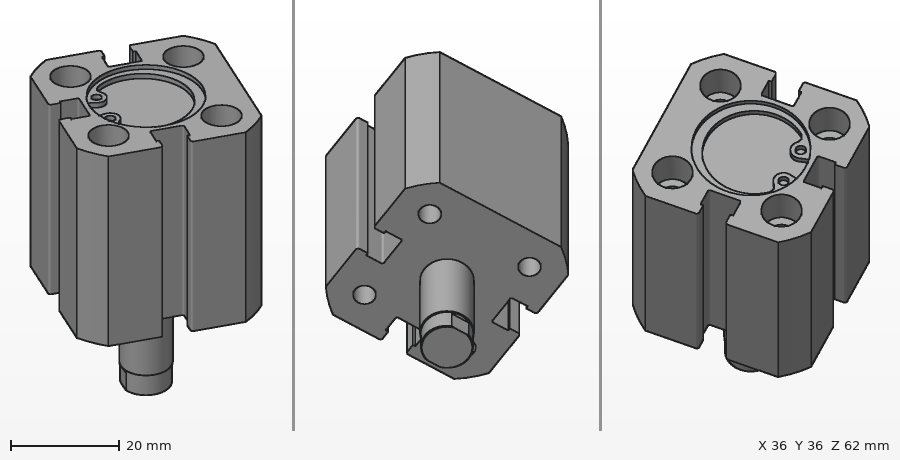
import cadquery as cq
import math

TOTAL_LENGTH = 62.0
OVERLAP = 0.6

HOUSING_WIDTH = 36.0
HOUSING_HEIGHT = 41.1
CORNER_DIAMETER = 44.9

SLOT_ANGLES = (0, 180, 270)
SLOT_MOUTH_WIDTH = 5.45
SLOT_INNER_WIDTH = 6.6
SLOT_MOUTH_DEPTH = 2.35
SLOT_DEPTH = 6.0
SLOT_LIP_RADIUS = 0.5
SLOT_FLOOR_RADIUS = 0.4

BOLT_SPACING = 22.0
BOLT_HOLE_DIAMETER = 4.2
BOLT_HEAD_DIAMETER = 7.5
BOLT_HEAD_DEPTH = 7.0

RECESS_DIAMETER = 22.0
RING_SETBACK = 0.9
RING_THICKNESS = 1.05
COVER_THICKNESS = 4.0

RING_OPENING_DIAMETER = 19.3
RING_OPENING_OFFSET = 0.7
LUG_SPACING = 7.9
LUG_OFFSET = 8.3
LUG_RADIUS = 1.9
LUG_HOLE_DIAMETER = 2.0
LUG_FILLET = 1.5
RING_GAP = 5.15

ROD_DIAMETER = 10.0
TIP_DIAMETER = 9.7
TIP_LENGTH = 4.4
TIP_CHAMFER = 0.2
ACROSS_FLATS = 8.9

ring_top = HOUSING_HEIGHT - RING_SETBACK
cover_top = ring_top - RING_THICKNESS
cover_bottom = cover_top - COVER_THICKNESS
rod_end = HOUSING_HEIGHT - TOTAL_LENGTH
shoulder = rod_end + TIP_LENGTH


def cylinder(diameter, bottom, top):
    return cq.Workplane("XY").workplane(offset=bottom).circle(diameter / 2).extrude(top - bottom)


def make_slot_cutter():
    """T-slot through the full height of the +X face, with rounded lips."""
    face = HOUSING_WIDTH / 2
    step = face - SLOT_MOUTH_DEPTH
    floor = face - SLOT_DEPTH
    mouth = SLOT_MOUTH_WIDTH / 2
    inner = SLOT_INNER_WIDTH / 2
    lip = mouth + SLOT_LIP_RADIUS
    lip_start = face - SLOT_LIP_RADIUS
    outline = (
        cq.Workplane("XY")
        .moveTo(floor, -inner)
        .lineTo(step, -inner)
        .lineTo(step, -mouth)
        .lineTo(lip_start, -mouth)
        .radiusArc((face, -lip), SLOT_LIP_RADIUS)
        .lineTo(face + OVERLAP, -lip)
        .lineTo(face + OVERLAP, lip)
        .lineTo(face, lip)
        .radiusArc((lip_start, mouth), SLOT_LIP_RADIUS)
        .lineTo(step, mouth)
        .lineTo(step, inner)
        .lineTo(floor, inner)
        .close()
    )
    return outline.extrude(HOUSING_HEIGHT).edges("|Z and <X").fillet(SLOT_FLOOR_RADIUS)


def make_housing():
    block = cq.Workplane("XY").rect(HOUSING_WIDTH, HOUSING_WIDTH).extrude(HOUSING_HEIGHT)
    housing = block.intersect(cylinder(CORNER_DIAMETER, 0, HOUSING_HEIGHT))
    slot = make_slot_cutter()
    for angle in SLOT_ANGLES:
        housing = housing.cut(slot.rotate((0, 0, 0), (0, 0, 1), angle))
    housing = (
        housing.faces(">Z").workplane(origin=(0, 0, HOUSING_HEIGHT))
        .rect(BOLT_SPACING, BOLT_SPACING, forConstruction=True).vertices()
        .cboreHole(BOLT_HOLE_DIAMETER, BOLT_HEAD_DIAMETER, BOLT_HEAD_DEPTH)
    )
    housing = housing.cut(cylinder(RECESS_DIAMETER, cover_bottom, HOUSING_HEIGHT))
    return housing.cut(cylinder(ROD_DIAMETER, 0, cover_bottom))


def make_head_cover():
    return cylinder(RECESS_DIAMETER, cover_bottom, cover_top)


def make_retaining_ring():
    """Eccentric ring, open at -Y, with a drilled lug at each side of its gap."""
    rim_radius = RECESS_DIAMETER / 2
    plane = cq.Workplane("XY").workplane(offset=cover_top)
    lug_x = LUG_SPACING / 2
    gap_x = RING_GAP / 2
    gap_y = -math.sqrt(rim_radius**2 - gap_x**2)

    run_x = gap_x - lug_x
    run_y = gap_y + LUG_OFFSET
    tangent_angle = math.atan2(run_y, run_x) - math.acos(LUG_RADIUS / math.hypot(run_x, run_y))
    tangent_x = lug_x + LUG_RADIUS * math.cos(tangent_angle)
    tangent_y = -LUG_OFFSET + LUG_RADIUS * math.sin(tangent_angle)

    disc = plane.circle(rim_radius).extrude(RING_THICKNESS)
    opening = plane.center(0, -RING_OPENING_OFFSET).circle(RING_OPENING_DIAMETER / 2)
    ring = disc.cut(opening.extrude(RING_THICKNESS))
    gap_points = [
        (tangent_x, tangent_y),
        (gap_x, gap_y),
        (gap_x, -rim_radius - OVERLAP),
        (-gap_x, -rim_radius - OVERLAP),
        (-gap_x, gap_y),
        (-tangent_x, tangent_y),
    ]
    ring = ring.cut(plane.polyline(gap_points).close().extrude(RING_THICKNESS))

    for side in (-1, 1):
        lug = plane.center(side * lug_x, -LUG_OFFSET).circle(LUG_RADIUS).extrude(RING_THICKNESS)
        foot_points = [
            (side * lug_x, -LUG_OFFSET),
            (side * tangent_x, tangent_y),
            (side * gap_x, gap_y),
        ]
        foot = plane.polyline(foot_points).close().extrude(RING_THICKNESS)
        ring = ring.union(lug.intersect(disc)).union(foot)

    for side in (-1, 1):
        corner = cq.NearestToPointSelector((side * (lug_x + LUG_RADIUS), -LUG_OFFSET, cover_top))
        ring = ring.edges("|Z").edges(corner).fillet(LUG_FILLET)

    lug_centres = [(-lug_x, -LUG_OFFSET), (lug_x, -LUG_OFFSET)]
    holes = plane.pushPoints(lug_centres).circle(LUG_HOLE_DIAMETER / 2).extrude(RING_THICKNESS)
    return ring.cut(holes)


def make_rod():
    """Round rod with a slightly thinner tip that has two wrench flats facing -Y and +Y."""
    rod_radius = ROD_DIAMETER / 2
    shoulder_step = (ROD_DIAMETER - TIP_DIAMETER) / 2
    body = cylinder(ROD_DIAMETER, shoulder, cover_bottom)
    tip = cylinder(TIP_DIAMETER, rod_end, shoulder).faces("<Z").chamfer(TIP_CHAMFER)
    rod = body.faces("<Z").chamfer(shoulder_step).union(tip)

    flat = ACROSS_FLATS / 2
    run_out_top = shoulder + shoulder_step
    run_out_bottom = run_out_top - (rod_radius - flat)
    flat_points = [
        (flat, rod_end),
        (flat, run_out_bottom),
        (rod_radius, run_out_top),
        (rod_radius, rod_end),
    ]
    flat_cutter = cq.Workplane("YZ").polyline(flat_points).close().extrude(rod_radius, both=True)
    return rod.cut(flat_cutter).cut(flat_cutter.mirror("XZ"))


housing = make_housing()
head_cover = make_head_cover()
retaining_ring = make_retaining_ring()
rod = make_rod()

result = cq.Compound.makeCompound([housing.val(), head_cover.val(), retaining_ring.val(), rod.val()])